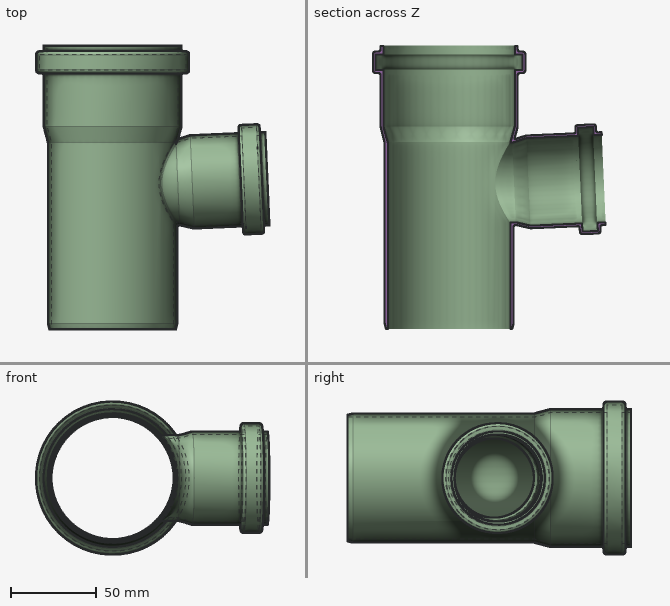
import cadquery as cq
import math


run_length = 165.0
run_outer_radius = 75.3 / 2
run_bore_radius = 71.1 / 2
spigot_end_y = -83.8
run_mouth_y = spigot_end_y + run_length
spigot_chamfer_length = 3.3
spigot_chamfer_angle = 15.0

branch_angle = 2.5
branch_length = 90.18
branch_bore_radius = 46.2 / 2
branch_wall = 1.8
branch_outer_radius = branch_bore_radius + branch_wall
junction_fillet = 1.0

RUN_SOCKET = {
    "wall": 2.0,
    "inner_radius": 76.2 / 2,
    "groove_radius": 85.2 / 2,
    "ring_front": 3.2,
    "ring_back": 16.1,
    "edge_fillet": 2.2,
    "root_fillet": 1.0,
    "cone_start": 47.0,
    "cone_end": 56.2,
}
BRANCH_SOCKET = {
    "wall": branch_wall,
    "inner_radius": 50.8 / 2,
    "groove_radius": 60.3 / 2,
    "ring_front": 3.2,
    "ring_back": 15.5,
    "edge_fillet": 1.8,
    "root_fillet": 0.8,
    "cone_start": 43.8,
    "cone_end": 52.2,
}


def revolve_about_y(profile):
    """Turn a closed profile in the XY plane around the Y axis."""
    return profile.close().revolve(360, (0, 0, 0), (0, 1, 0))


def quarter_arc(profile, end_x, end_y, centre_x, centre_y, radius, toward_x, toward_y):
    """Add a quarter-circle arc; toward_x and toward_y are the signs of its middle from the centre."""
    reach = radius * math.sqrt(0.5)
    middle = (centre_x + toward_x * reach, centre_y + toward_y * reach)
    return profile.threePointArc(middle, (end_x, end_y))


def add_socket_outside(profile, mouth_y, pipe_radius, socket):
    """Continue a profile up the outside of a socket, from its cone to its mouth."""
    body_radius = socket["inner_radius"] + socket["wall"]
    ring_radius = socket["groove_radius"] + socket["wall"]
    root = socket["root_fillet"]
    edge = socket["edge_fillet"]
    back_y = mouth_y - socket["ring_back"]
    front_y = mouth_y - socket["ring_front"]
    root_x = body_radius + root
    edge_x = ring_radius - edge

    profile = profile.lineTo(pipe_radius, mouth_y - socket["cone_end"])
    profile = profile.lineTo(body_radius, mouth_y - socket["cone_start"])
    profile = profile.lineTo(body_radius, back_y - root)
    profile = quarter_arc(profile, root_x, back_y, root_x, back_y - root, root, -1, 1)
    profile = profile.lineTo(edge_x, back_y)
    profile = quarter_arc(profile, ring_radius, back_y + edge, edge_x, back_y + edge, edge, 1, -1)
    profile = profile.lineTo(ring_radius, front_y - edge)
    profile = quarter_arc(profile, edge_x, front_y, edge_x, front_y - edge, edge, 1, 1)
    profile = profile.lineTo(root_x, front_y)
    profile = quarter_arc(profile, body_radius, front_y + root, root_x, front_y + root, root, -1, -1)
    return profile.lineTo(body_radius, mouth_y).lineTo(0, mouth_y)


def make_bore(start_y, mouth_y, bore_radius, socket):
    """Inside of a pipe: bore, widening cone, socket and seal groove."""
    socket_radius = socket["inner_radius"]
    groove_back = mouth_y - socket["ring_back"] + socket["wall"]
    groove_front = mouth_y - socket["ring_front"] - socket["wall"]
    profile = (
        cq.Workplane("XY")
        .moveTo(0, start_y)
        .lineTo(bore_radius, start_y)
        .lineTo(bore_radius, mouth_y - socket["cone_end"])
        .lineTo(socket_radius, mouth_y - socket["cone_start"])
        .lineTo(socket_radius, groove_back)
        .lineTo(socket["groove_radius"], groove_back)
        .lineTo(socket["groove_radius"], groove_front)
        .lineTo(socket_radius, groove_front)
        .lineTo(socket_radius, mouth_y)
        .lineTo(0, mouth_y)
    )
    return revolve_about_y(profile)


def make_run_outside():
    """Solid outside of the run, with a tapered spigot end."""
    taper = spigot_chamfer_length * math.tan(math.radians(spigot_chamfer_angle))
    profile = (
        cq.Workplane("XY")
        .moveTo(0, spigot_end_y)
        .lineTo(run_outer_radius - taper, spigot_end_y)
        .lineTo(run_outer_radius, spigot_end_y + spigot_chamfer_length)
    )
    profile = add_socket_outside(profile, run_mouth_y, run_outer_radius, RUN_SOCKET)
    return revolve_about_y(profile)


def make_branch_outside():
    """Solid outside of the branch, standing along Y from the origin."""
    profile = cq.Workplane("XY").lineTo(branch_outer_radius, 0)
    profile = add_socket_outside(profile, branch_length, branch_outer_radius, BRANCH_SOCKET)
    return revolve_about_y(profile)


def lean_to_branch(body):
    """Swing a body from the Y axis onto the branch axis."""
    return body.rotate((0, 0, 0), (0, 0, 1), branch_angle - 90)


def make_rounded_junction():
    """Plain run and neck cylinders joined with a fillet around their meeting line."""
    half_length = branch_outer_radius + 3 * junction_fillet
    neck_end = branch_length - BRANCH_SOCKET["cone_start"]
    run = cq.Workplane("XZ").circle(run_outer_radius).extrude(half_length, both=True)
    neck = cq.Workplane("XZ").circle(branch_outer_radius).extrude(-neck_end)
    joined = run.union(lean_to_branch(neck))
    return joined.edges("%BSPLINE").fillet(junction_fillet)


outside = (
    make_run_outside()
    .union(lean_to_branch(make_branch_outside()))
    .union(make_rounded_junction())
)
run_bore = make_bore(spigot_end_y, run_mouth_y, run_bore_radius, RUN_SOCKET)
branch_bore = lean_to_branch(make_bore(0, branch_length, branch_bore_radius, BRANCH_SOCKET))
result = outside.cut(run_bore).cut(branch_bore)